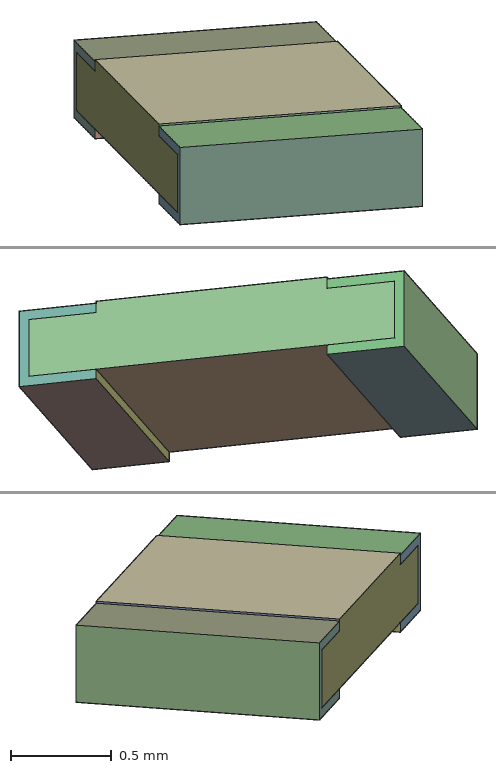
import cadquery as cq

length = 2.0
width = 1.25
terminal_height = 0.4
terminal_length = 0.4
wall = 0.05
top_step = 0.01


def chip_body():
    """Flat chip that fills both terminals, with a raised pad between them."""
    core_length = length - 2 * wall
    core_height = terminal_height - 2 * wall
    pad_length = length - 2 * terminal_length
    pad_height = wall + top_step

    core = cq.Workplane("XY").box(core_length, width, core_height, centered=(True, True, False))
    core = core.translate((0, 0, wall))
    pad = cq.Workplane("XY").box(pad_length, width, pad_height, centered=(True, True, False))
    pad = pad.translate((0, 0, terminal_height - wall))
    return core.union(pad)


def terminal(side):
    """C-shaped end cap; side is -1 for the -X end and +1 for the +X end."""
    outer_x = side * length / 2
    inner_x = side * (length / 2 - wall)
    lip_x = side * (length / 2 - terminal_length)
    profile = [
        (outer_x, 0),
        (lip_x, 0),
        (lip_x, wall),
        (inner_x, wall),
        (inner_x, terminal_height - wall),
        (lip_x, terminal_height - wall),
        (lip_x, terminal_height),
        (outer_x, terminal_height),
    ]
    return cq.Workplane("XZ").polyline(profile).close().extrude(width / 2, both=True)


body = chip_body()
terminals = [terminal(side) for side in (-1, 1)]

result = cq.Compound.makeCompound([body.val(), *[cap.val() for cap in terminals]])